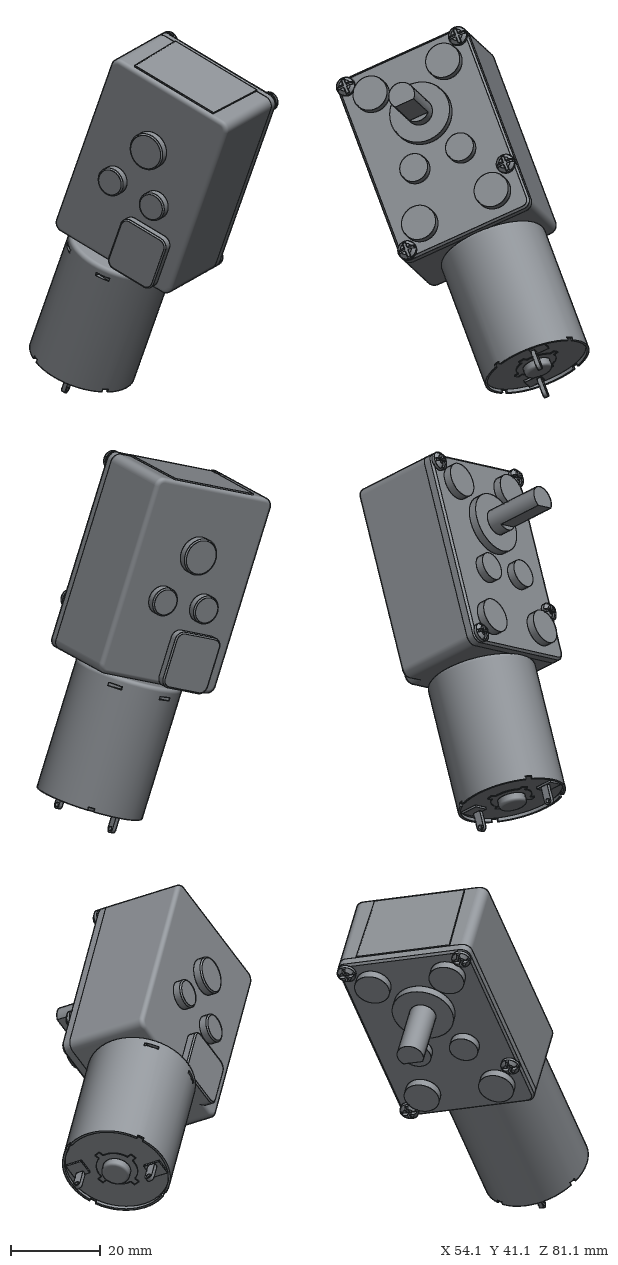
import cadquery as cq

LEAN_ANGLE = 20.0

BOX_WIDTH = 32.0
BOX_HEIGHT = 46.0
BOX_DEPTH = 19.5
BOX_CORNER = 2.0
FRONT_EDGE = 1.0
BOX_TOP = BOX_HEIGHT / 2
BOX_BOTTOM = -BOX_HEIGHT / 2

FRONT_RELIEF = 2.0
RELIEF_EDGE = 0.3
SHAFT_Z = 7.5
FRONT_HUB_RADIUS = 4.2
GEAR_BOSS_X = 5.7
GEAR_BOSS_Z = -4.05
GEAR_BOSS_RADIUS = 3.25
PAD_WIDTH = 12.3
PAD_TOP = -9.9
PAD_CORNER = 2.0

PANEL_REAR_WIDTH = 22.55
PANEL_FRONT_WIDTH = 21.75
PANEL_RISE = 0.3
PANEL_FRONT = 1.2

COVER_THICKNESS = 2.2
COVER_EDGE = 0.5
COVER_FACE = BOX_DEPTH + COVER_THICKNESS
COVER_BOSS_HEIGHT = 1.9
SHAFT_BOSS_RADIUS = 7.0
MOUNT_BOSS_RADIUS = 4.0
MOUNT_SPACING_X = 18.0
MOUNT_SPACING_Z = 33.0

SCREW_RADIUS = 2.1
SCREW_RIM = 0.7
SCREW_HEIGHT = 1.5
SCREW_CROWN_RADIUS = 1.3
RECESS_LENGTH = 3.6
RECESS_WIDTH = 0.7
RECESS_DEPTH = 0.9
SCREW_INSET = 2.1
RAISED_SCREW_INSET = 11.3
SCREW_X = BOX_WIDTH / 2 - SCREW_INSET
SCREW_Z = BOX_HEIGHT / 2 - SCREW_INSET
SCREW_POINTS = [
    (-SCREW_X, SCREW_Z),
    (SCREW_X, SCREW_Z),
    (SCREW_X, -SCREW_Z),
    (-SCREW_X, BOX_BOTTOM + RAISED_SCREW_INSET),
]

SHAFT_RADIUS = 3.0
SHAFT_TIP = 37.2
FLAT_START = 26.3
FLAT_DISTANCE = 1.95

MOTOR_X = -1.95
MOTOR_Y = 8.4
MOTOR_RADIUS = 12.25
MOTOR_LENGTH = 30.75
MOTOR_SHOULDER = 1.0
RIM_THICKNESS = 0.5
RIM_HEIGHT = 0.8
MOTOR_END = BOX_BOTTOM - MOTOR_LENGTH
NOTCH_WIDTH = 1.5
NOTCH_HEIGHT = 0.7
NOTCH_ANGLE = 58.0
NOTCH_COUNT = 4
VENT_MIDDLE_ANGLE = 253.5
VENT_SPREAD = 29.5
VENT_TILT = 20.0
VENT_WIDTH = 3.1
VENT_HEIGHT = 0.7
VENT_DROP = 2.3
VENT_DEPTH = 0.8

CAP_THICKNESS = 1.2
CAP_FACE = MOTOR_END + RIM_HEIGHT
HUB_RADIUS = 3.2
HUB_REACH = 1.4
HUB_EDGE = 0.65
RETAINER_RADIUS = 4.7
RETAINER_REACH = 5.85
TAB_WIDTH = 1.5
TAB_COUNT = 4
TAB_ANGLE = 71.0
RETAINER_THICKNESS = 0.25
TERMINAL_X = 1.95
TERMINAL_Y = 8.35
TERMINAL_WIDTH = 1.8
TERMINAL_THICKNESS = 1.0
TERMINAL_REACH = 4.2
TERMINAL_HOLE_RADIUS = 0.5
INSULATOR_LENGTH = 3.7
INSULATOR_WIDTH = 4.05
INSULATOR_SHIFT = 1.3
INSULATOR_HEIGHT = 0.5


def face_plane(y):
    """Sketch plane across the gearbox; extrude a negative length to grow toward +Y."""
    return cq.Workplane("XZ", origin=(0, y, 0))


def disc(x, z, radius, y_start, y_end):
    return face_plane(y_start).center(x, z).circle(radius).extrude(y_start - y_end)


def motor_plane(z):
    return cq.Workplane("XY", origin=(MOTOR_X, MOTOR_Y, z))


def lean(body):
    return body.rotate((0, 0, 0), (0, 1, 0), LEAN_ANGLE)


def make_front_pad():
    pad_height = PAD_TOP - BOX_BOTTOM
    pad = (
        face_plane(-FRONT_RELIEF)
        .center(PAD_WIDTH / 2, BOX_BOTTOM + pad_height / 2)
        .rect(PAD_WIDTH, pad_height)
        .extrude(-FRONT_RELIEF - FRONT_EDGE)
    )
    return pad.edges("|Y").fillet(PAD_CORNER).faces("<Y").edges().chamfer(RELIEF_EDGE)


def make_top_panel():
    rear_half = PANEL_REAR_WIDTH / 2
    front_half = PANEL_FRONT_WIDTH / 2
    outline = [
        (-rear_half, BOX_DEPTH),
        (rear_half, BOX_DEPTH),
        (front_half, PANEL_FRONT),
        (-front_half, PANEL_FRONT),
    ]
    return cq.Workplane("XY", origin=(0, 0, BOX_TOP)).polyline(outline).close().extrude(PANEL_RISE)


def make_housing():
    box = face_plane(0).rect(BOX_WIDTH, BOX_HEIGHT).extrude(-BOX_DEPTH)
    box = box.edges("|Y").fillet(BOX_CORNER).faces("<Y").edges().fillet(FRONT_EDGE)
    front_bosses = [
        (0, SHAFT_Z, FRONT_HUB_RADIUS),
        (-GEAR_BOSS_X, GEAR_BOSS_Z, GEAR_BOSS_RADIUS),
        (GEAR_BOSS_X, GEAR_BOSS_Z, GEAR_BOSS_RADIUS),
    ]
    for x, z, radius in front_bosses:
        boss = disc(x, z, radius, -FRONT_RELIEF, 0)
        box = box.union(boss.faces("<Y").edges().chamfer(RELIEF_EDGE))
    return box.union(make_front_pad()).union(make_top_panel())


def make_cover():
    cover = face_plane(BOX_DEPTH).rect(BOX_WIDTH, BOX_HEIGHT).extrude(-COVER_THICKNESS)
    cover = cover.edges("|Y").fillet(BOX_CORNER).faces(">Y").edges().chamfer(COVER_EDGE)
    boss_end = COVER_FACE + COVER_BOSS_HEIGHT
    bosses = [
        (0, SHAFT_Z, SHAFT_BOSS_RADIUS),
        (-GEAR_BOSS_X, GEAR_BOSS_Z, GEAR_BOSS_RADIUS),
        (GEAR_BOSS_X, GEAR_BOSS_Z, GEAR_BOSS_RADIUS),
    ]
    for side in (-1, 1):
        for end in (-1, 1):
            bosses.append((side * MOUNT_SPACING_X / 2, end * MOUNT_SPACING_Z / 2, MOUNT_BOSS_RADIUS))
    for x, z, radius in bosses:
        cover = cover.union(disc(x, z, radius, BOX_DEPTH, boss_end))
    return cover.cut(disc(0, SHAFT_Z, SHAFT_RADIUS, BOX_DEPTH, boss_end))


def make_screw(x, z):
    """Tapered head with a cross recess, seated on the cover."""
    rim_y = COVER_FACE + SCREW_RIM
    crown_y = COVER_FACE + SCREW_HEIGHT
    half_profile = (
        cq.Workplane("XY", origin=(x, 0, z))
        .moveTo(0, COVER_FACE)
        .lineTo(SCREW_RADIUS, COVER_FACE)
        .lineTo(SCREW_RADIUS, rim_y)
        .lineTo(SCREW_CROWN_RADIUS, crown_y)
        .lineTo(0, crown_y)
        .close()
    )
    head = half_profile.revolve(360, (0, 0, 0), (0, 1, 0))
    recess_plane = face_plane(crown_y - RECESS_DEPTH).center(x, z)
    for size_x, size_z in ((RECESS_LENGTH, RECESS_WIDTH), (RECESS_WIDTH, RECESS_LENGTH)):
        head = head.cut(recess_plane.rect(size_x, size_z).extrude(-RECESS_DEPTH))
    return head


def make_shaft():
    shaft = disc(0, SHAFT_Z, SHAFT_RADIUS, BOX_DEPTH, SHAFT_TIP)
    flat_cut = (
        face_plane(FLAT_START)
        .center(0, SHAFT_Z - FLAT_DISTANCE - SHAFT_RADIUS / 2)
        .rect(2 * SHAFT_RADIUS, SHAFT_RADIUS)
        .extrude(FLAT_START - SHAFT_TIP)
    )
    return shaft.cut(flat_cut)


def wall_cutter(angle, width, height, z_bottom, depth, tilt=0):
    """Block that cuts the motor wall from outside; tilt makes one end of its floor deeper."""
    return (
        cq.Workplane("XY")
        .box(MOTOR_RADIUS, width, height, centered=(False, True, False))
        .translate((-depth, 0, 0))
        .rotate((0, 0, 0), (0, 0, 1), tilt)
        .translate((MOTOR_RADIUS, 0, 0))
        .rotate((0, 0, 0), (0, 0, 1), angle)
        .translate((MOTOR_X, MOTOR_Y, z_bottom))
    )


def make_motor():
    cap_seat_radius = MOTOR_RADIUS - RIM_THICKNESS
    can = motor_plane(MOTOR_END).circle(MOTOR_RADIUS).extrude(MOTOR_LENGTH)
    can = can.faces(">Z").edges().fillet(MOTOR_SHOULDER)
    can = can.cut(motor_plane(MOTOR_END).circle(cap_seat_radius).extrude(RIM_HEIGHT + CAP_THICKNESS))
    for index in range(NOTCH_COUNT):
        angle = NOTCH_ANGLE + index * 360 / NOTCH_COUNT
        can = can.cut(wall_cutter(angle, NOTCH_WIDTH, NOTCH_HEIGHT, MOTOR_END, 2 * RIM_THICKNESS))
    vent_bottom = BOX_BOTTOM - VENT_DROP - VENT_HEIGHT / 2
    for side in (-1, 1):
        angle = VENT_MIDDLE_ANGLE + side * VENT_SPREAD
        tilt = -side * VENT_TILT
        can = can.cut(wall_cutter(angle, VENT_WIDTH, VENT_HEIGHT, vent_bottom, VENT_DEPTH, tilt))
    return can


def make_terminal(side):
    """Flat solder tab with a round end and an eye, on an insulating block."""
    x = MOTOR_X + side * TERMINAL_X
    y = MOTOR_Y - side * TERMINAL_Y
    eye_z = MOTOR_END - TERMINAL_REACH + TERMINAL_WIDTH / 2
    tab_plane = cq.Workplane("YZ", origin=(x - TERMINAL_THICKNESS / 2, y, eye_z))
    half_width = TERMINAL_WIDTH / 2
    tab = (
        tab_plane.moveTo(-half_width, CAP_FACE - eye_z)
        .lineTo(-half_width, 0)
        .threePointArc((0, -half_width), (half_width, 0))
        .lineTo(half_width, CAP_FACE - eye_z)
        .close()
        .extrude(TERMINAL_THICKNESS)
    )
    tab = tab.cut(tab_plane.circle(TERMINAL_HOLE_RADIUS).extrude(TERMINAL_THICKNESS))
    insulator = (
        cq.Workplane("XY", origin=(x + side * INSULATOR_SHIFT, y, CAP_FACE))
        .rect(INSULATOR_LENGTH, INSULATOR_WIDTH)
        .extrude(-INSULATOR_HEIGHT)
    )
    return tab.union(insulator)


def make_retainer():
    """Round plate about the hub with evenly spaced tabs."""
    retainer = motor_plane(CAP_FACE).circle(RETAINER_RADIUS).extrude(-RETAINER_THICKNESS)
    for index in range(TAB_COUNT):
        angle = TAB_ANGLE + index * 360 / TAB_COUNT
        tab = (
            motor_plane(CAP_FACE)
            .transformed(rotate=(0, 0, angle))
            .center(RETAINER_REACH / 2, 0)
            .rect(RETAINER_REACH, TAB_WIDTH)
            .extrude(-RETAINER_THICKNESS)
        )
        retainer = retainer.union(tab)
    return retainer


def make_end_cap():
    cap = motor_plane(CAP_FACE).circle(MOTOR_RADIUS - RIM_THICKNESS).extrude(CAP_THICKNESS)
    cap = cap.union(make_retainer())
    hub = motor_plane(CAP_FACE).circle(HUB_RADIUS).extrude(-RIM_HEIGHT - HUB_REACH)
    hub = hub.faces("<Z").edges().fillet(HUB_EDGE)
    cap = cap.union(hub)
    for side in (-1, 1):
        cap = cap.union(make_terminal(side))
    return cap


housing = lean(make_housing())
cover = lean(make_cover())
shaft = lean(make_shaft())
motor = lean(make_motor())
end_cap = lean(make_end_cap())
screws = [lean(make_screw(x, z)) for x, z in SCREW_POINTS]

result = cq.Compound.makeCompound(
    [housing.val(), cover.val(), shaft.val(), motor.val(), end_cap.val()]
    + [screw.val() for screw in screws]
)